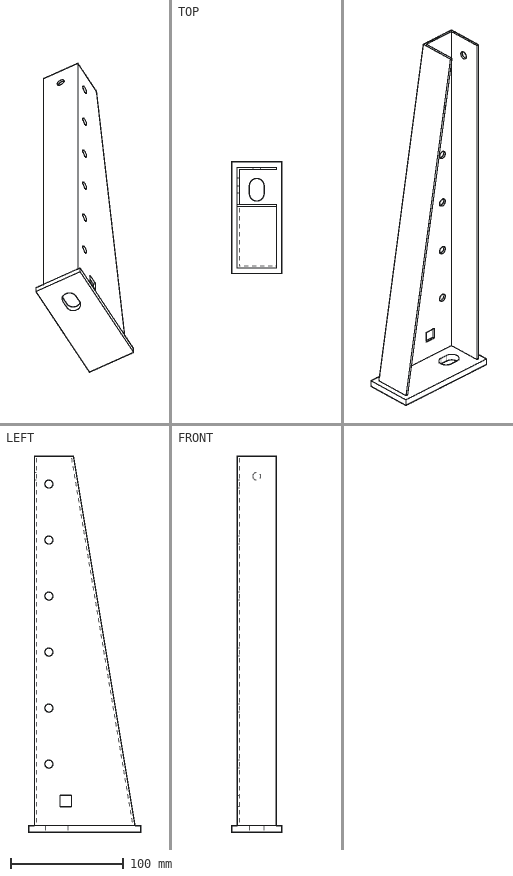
import cadquery as cq

plate_width = 45.0
plate_length = 100.0
plate_thickness = 6.0
plate_margin = 5.0

total_height = 336.0
wall = 2.0
channel_width = plate_width - 2 * plate_margin
back_y = plate_length / 2 - plate_margin
front_bottom_y = -back_y
top_depth = 35.0
front_top_y = back_y - top_depth

hole_diameter = 7.0
hole_count = 6
hole_pitch = 50.0
hole_top_offset = 25.0
hole_back_offset = 13.0
hole_y = back_y - hole_back_offset

square_size = 10.0
square_y = 17.0
square_height = 22.0
square_z = plate_thickness + square_height

flange_hole_diameter = 7.0
flange_hole_top_offset = 18.0

slot_width = 13.0
slot_length = 20.0
slot_y = 25.0

web_x = -channel_width / 2


def make_plate():
    plate = cq.Workplane("XY").box(
        plate_width, plate_length, plate_thickness, centered=(True, True, False)
    )
    slot = (
        cq.Workplane("XY")
        .center(0, slot_y)
        .slot2D(slot_length, slot_width, 90)
        .extrude(plate_thickness)
    )
    return plate.cut(slot)


def trapezoid_block(x_start, x_length, back_inset, front_inset):
    """Block with the tapered side profile, moved in along Y from the back and front faces."""
    return (
        cq.Workplane("YZ", origin=(x_start, 0, 0))
        .moveTo(back_y - back_inset, plate_thickness)
        .lineTo(back_y - back_inset, total_height)
        .lineTo(front_top_y + front_inset, total_height)
        .lineTo(front_bottom_y + front_inset, plate_thickness)
        .close()
        .extrude(x_length)
    )


def make_channel():
    """Web on the -X side with a vertical back flange and a sloping front flange."""
    outer = trapezoid_block(web_x, channel_width, 0, 0)
    slope = (front_top_y - front_bottom_y) / (total_height - plate_thickness)
    front_wall_y = wall * (1 + slope**2) ** 0.5
    inner = trapezoid_block(web_x + wall, channel_width - wall, wall, front_wall_y)
    return outer.cut(inner)


def make_web_holes():
    top_hole_z = total_height - hole_top_offset
    hole_points = [(hole_y, top_hole_z - i * hole_pitch) for i in range(hole_count)]
    plane = cq.Workplane("YZ", origin=(web_x, 0, 0))
    round_holes = plane.pushPoints(hole_points).circle(hole_diameter / 2).extrude(wall)
    square_hole = plane.center(square_y, square_z).rect(square_size, square_size).extrude(wall)
    return round_holes.union(square_hole)


def make_flange_hole():
    hole_z = total_height - flange_hole_top_offset
    return (
        cq.Workplane("XZ", origin=(0, back_y, hole_z))
        .circle(flange_hole_diameter / 2)
        .extrude(wall)
    )


upright = make_channel().cut(make_web_holes()).cut(make_flange_hole())
result = make_plate().union(upright)